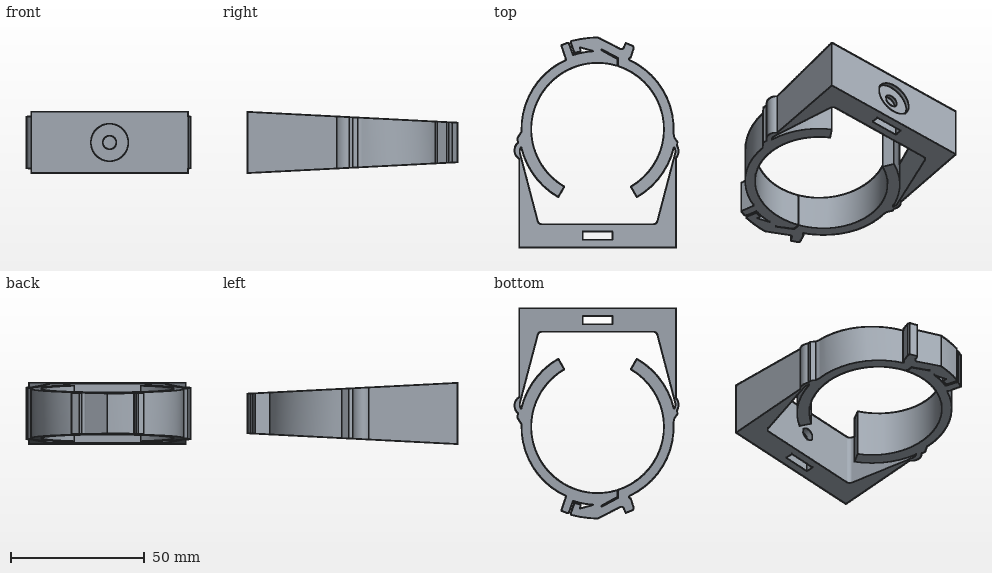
import cadquery as cq
import math

total_length = 78.7
base_thickness = 23.0
latch_thickness = 14.9

ring_center_y = 44.3
bore_radius = 24.8
band_radius = 28.5
jaw_radius = 29.35
jaw_top_y = 39.35
mouth_half_angle = 30.0

base_half_width = 29.35
floor_height = 8.8
floor_half_width = 22.0
floor_fillet = 1.6
leg_top_half_width = 28.9
leg_top_y = 34.95
gap_tip = (28.25, 38.0)
gap_bulge = (29.05, 36.4)

slot_width = 11.0
slot_front_y = 3.0
slot_back_y = 6.2
slot_back_slant = 0.3
screw_diameter = 5.0
counterbore_diameter = 14.0
counterbore_depth = 1.6

slit_width = 0.2


def bottom_plane():
    """XY workplane at the underside of the base, so the part is centred on Z."""
    return cq.Workplane("XY", origin=(0, 0, -base_thickness / 2))


def extrude_profile(sketch):
    """Close an XY outline and extrude it to the full base thickness."""
    return sketch.close().extrude(base_thickness)


def polygon(points):
    return extrude_profile(bottom_plane().polyline(points))


def disc(radius):
    return (
        bottom_plane()
        .center(0, ring_center_y)
        .circle(radius)
        .extrude(base_thickness)
    )


def make_ring():
    """Open ring whose two lower jaws are slightly thicker than the upper band."""
    jaw_region = (
        bottom_plane()
        .center(0, jaw_top_y - jaw_radius / 2)
        .rect(2 * jaw_radius, jaw_radius)
        .extrude(base_thickness)
    )
    mouth_depth = 2 * jaw_radius
    mouth_reach = mouth_depth * math.tan(math.radians(mouth_half_angle))
    mouth = polygon([
        (0, ring_center_y),
        (-mouth_reach, ring_center_y - mouth_depth),
        (mouth_reach, ring_center_y - mouth_depth),
    ])
    jaws = disc(jaw_radius).intersect(jaw_region)
    return disc(band_radius).union(jaws).cut(disc(bore_radius)).cut(mouth)


def make_leg(side, lobe_start_y, lobe_tip, lobe_end, shoulder):
    """Tapered leg with a rounded outer lobe; side is -1 for left, +1 for right."""
    root_x = (bore_radius + band_radius) / 2
    outline = (
        bottom_plane()
        .moveTo(0, 0)
        .lineTo(side * base_half_width, 0)
        .lineTo(side * base_half_width, lobe_start_y)
        .threePointArc(lobe_tip, lobe_end)
    )
    for point in shoulder:
        outline = outline.lineTo(*point)
    outline = (
        outline
        .lineTo(side * root_x, shoulder[-1][1])
        .lineTo(side * root_x, gap_tip[1])
        .lineTo(side * gap_tip[0], gap_tip[1])
        .threePointArc((side * gap_bulge[0], gap_bulge[1]), (side * leg_top_half_width, leg_top_y))
        .lineTo(side * floor_half_width, floor_height)
        .lineTo(0, floor_height)
    )
    leg = extrude_profile(outline)
    inner_corner = cq.selectors.NearestToPointSelector((side * floor_half_width, floor_height, 0))
    return leg.edges("|Z").edges(inner_corner).fillet(floor_fillet)


def make_latch():
    """Snap latch on top of the ring: catch post, hook and release tab."""
    outline = (
        bottom_plane()
        .moveTo(-10.6, 68.9)
        .lineTo(-11.8, 70.3)
        .lineTo(-13.6, 75.7)
        .lineTo(-11.5, 76.6)
        .lineTo(-10.8, 76.6)
        .lineTo(-9.1, 72.1)
        .threePointArc((-5.9, 72.95), (-1.65, 73.5))
        .lineTo(-6.5, 74.85)
        .lineTo(-6.3, 73.35)
        .lineTo(-8.65, 72.8)
        .lineTo(-10.1, 76.7)
        .lineTo(-9.75, 77.4)
        .threePointArc((-4.8, 78.3), (0, total_length))
        .lineTo(8.0, 74.6)
        .threePointArc((8.9, 74.3), (9.6, 74.5))
        .lineTo(10.55, 76.6)
        .lineTo(13.4, 75.4)
        .lineTo(13.5, 74.5)
        .lineTo(12.4, 71.1)
        .threePointArc((11.9, 70.8), (11.9, 70.3))
        .lineTo(10.6, 68.5)
        .threePointArc((0, 69.8), (-10.6, 68.9))
    )
    return extrude_profile(outline)


def make_slit():
    """Thin bent slit that opens into the bore beside the hook."""
    bend_x = 7.5
    bend_y = 70.8
    tip = (1.5, 74.1)
    open_y = ring_center_y
    return polygon([
        tip,
        (bend_x + slit_width, bend_y),
        (bend_x + slit_width, open_y),
        (bend_x, open_y),
        (bend_x, bend_y - slit_width),
        (tip[0], tip[1] - slit_width),
    ])


def make_taper():
    """Wedge that holds the linear thickness taper along Y."""
    return (
        cq.Workplane("YZ", origin=(-total_length / 2, 0, 0))
        .polyline([
            (0, -base_thickness / 2),
            (total_length, -latch_thickness / 2),
            (total_length, latch_thickness / 2),
            (0, base_thickness / 2),
        ])
        .close()
        .extrude(total_length)
    )


def make_nut_slot():
    """Slot through the base, with a slightly slanted back wall."""
    return (
        cq.Workplane("YZ", origin=(-slot_width / 2, 0, 0))
        .polyline([
            (slot_front_y, -base_thickness / 2),
            (slot_back_y - slot_back_slant, -base_thickness / 2),
            (slot_back_y, base_thickness / 2),
            (slot_front_y, base_thickness / 2),
        ])
        .close()
        .extrude(slot_width)
    )


def bore_from_base(diameter, depth):
    return cq.Workplane("XZ").circle(diameter / 2).extrude(-depth)


left_leg = make_leg(
    -1, 33.3, (-31.1, 36.2), (-30.15, 38.9),
    [(-29.75, 39.35), (-30.1, 40.85), (-28.5, 43.4)],
)
right_leg = make_leg(
    1, 33.5, (30.3, 36.05), (29.75, 38.2),
    [(29.9, 39.5), (28.7, 41.2), (28.4, 42.9)],
)

result = (
    make_ring()
    .union(left_leg)
    .union(right_leg)
    .union(make_latch())
    .cut(make_slit())
    .intersect(make_taper())
    .cut(make_nut_slot())
    .cut(bore_from_base(screw_diameter, floor_height))
    .cut(bore_from_base(counterbore_diameter, counterbore_depth))
)